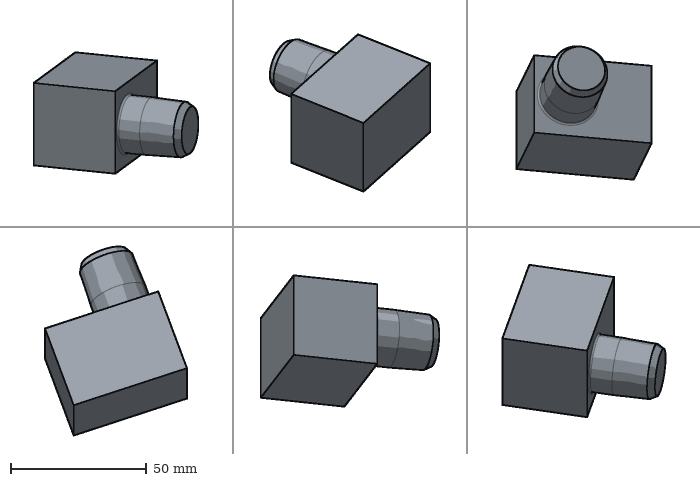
import cadquery as cq

total_length = 57.15
body_length = 32.25
body_width = 44.45
body_height = 31.8

spigot_y = 12.65
spigot_z = body_height / 2
root_fillet = 0.75
straight_radius = 10.8
straight_length = 8.9
taper_end_radius = 10.4
tip_chamfer_length = 2.7
tip_radius = 8.9


def make_body():
    return cq.Workplane("XY").box(body_length, body_width, body_height, centered=False)


def make_spigot():
    """Revolve the spigot profile: root fillet, cylinder, slight taper, tip chamfer."""
    straight_end = body_length + straight_length
    taper_end = total_length - tip_chamfer_length
    profile = (
        cq.Workplane("XY")
        .moveTo(body_length, 0)
        .lineTo(body_length, straight_radius + root_fillet)
        .radiusArc((body_length + root_fillet, straight_radius), -root_fillet)
        .lineTo(straight_end, straight_radius)
        .lineTo(taper_end, taper_end_radius)
        .lineTo(total_length, tip_radius)
        .lineTo(total_length, 0)
        .close()
    )
    spigot = profile.revolve(360, (0, 0, 0), (1, 0, 0))
    return spigot.translate((0, spigot_y, spigot_z))


result = make_body().union(make_spigot())